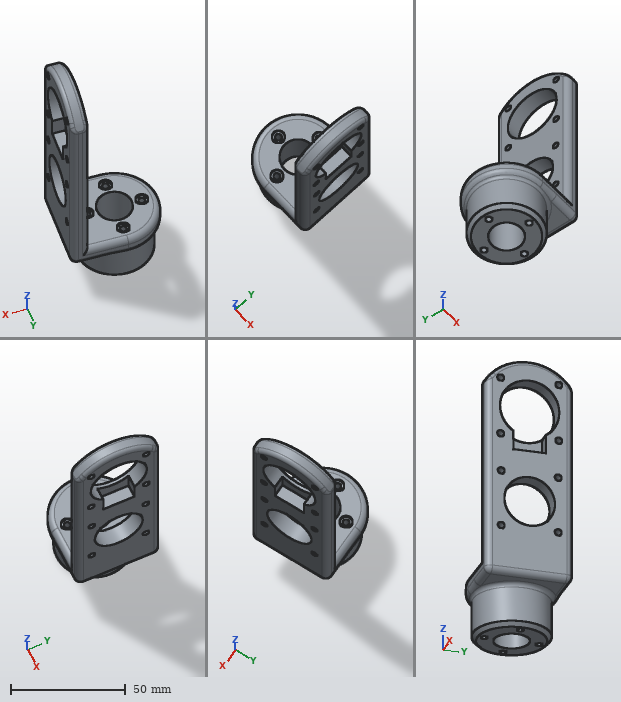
import cadquery as cq

width = 40.0
end_radius = width / 2
back_x = 26.0
thickness = 8.0
edge_fillet = 3.0

spigot_radius = 35.0 / 2
spigot_height = 20.0
spigot_chamfer = 2.0
neck_fillet = 2.0
bore_diameter = 16.0

total_height = 122.23
side_height = 111.0
top_fillet = 2.0
front_x = back_x - thickness

screw_diameter = 3.0
counterbore_diameter = 5.6
counterbore_depth = 1.0
base_screw_radius = 12.5
base_screw_count = 4

upper_opening_z = 99.35
upper_opening_diameter = 27.0
upper_screw_spacing = 26.5
lower_opening_z = 55.5
lower_opening_diameter = 23.0
lower_screw_spacing = 26.0

recess_width = 15.0
recess_depth = 6.0
recess_drop = 20.0

tolerance = 0.01

base_bottom = spigot_height
base_top = base_bottom + thickness


def base_plate():
    """Base plate with its half-round end."""
    return (
        cq.Workplane("XY", origin=(0, 0, base_bottom))
        .moveTo(back_x, -end_radius)
        .lineTo(0, -end_radius)
        .threePointArc((-end_radius, 0), (0, end_radius))
        .lineTo(back_x, end_radius)
        .close()
        .extrude(thickness)
    )


def upright_plate():
    """Upright plate with its arched top."""
    half = width / 2
    return (
        cq.Workplane("YZ", origin=(front_x, 0, 0))
        .moveTo(-half, base_bottom)
        .lineTo(half, base_bottom)
        .lineTo(half, side_height)
        .threePointArc((0, total_height), (-half, side_height))
        .close()
        .extrude(thickness)
    )


def spigot():
    """Chamfered spigot, overlapping the base plate by its full thickness."""
    return (
        cq.Workplane("XY")
        .circle(spigot_radius)
        .extrude(base_top)
        .faces("<Z")
        .chamfer(spigot_chamfer)
    )


def fillet_neck(body):
    """Blend the spigot into the underside of the base plate."""
    reach = (spigot_radius + end_radius) / 2
    around_spigot = cq.selectors.BoxSelector(
        (-reach, -reach, base_bottom - tolerance),
        (reach, reach, base_bottom + tolerance),
        boundingbox=True,
    )
    return body.edges(around_spigot).fillet(neck_fillet)


def fillet_outline(body):
    """Round the outer edges of both plates, all but the arched top."""

    def is_outline(edge):
        center = edge.Center()
        box = edge.BoundingBox()
        level = box.zlen < tolerance
        on_side = abs(abs(center.y) - end_radius) < tolerance
        upright_side = on_side and box.zlen > thickness
        base_side = level and on_side and center.z < base_top + tolerance
        base_end = level and abs(box.xmin + end_radius) < tolerance
        bottom_back = level and abs(center.z - base_bottom) < tolerance and box.xmin > front_x
        return upright_side or base_side or base_end or bottom_back

    edges = [edge for edge in body.edges().vals() if is_outline(edge)]
    return body.newObject(edges).fillet(edge_fillet)


def fillet_top(body):
    """Round both long edges of the arched top."""

    def is_arch_edge(edge):
        box = edge.BoundingBox()
        return box.xlen < tolerance and box.zmax > side_height + edge_fillet

    edges = [edge for edge in body.edges().vals() if is_arch_edge(edge)]
    return body.newObject(edges).fillet(top_fillet)


def cut_base_holes(body):
    """Cut the bore and the four counterbored screw holes, all running down through the spigot."""
    top = cq.Workplane("XY", origin=(0, 0, base_top))
    body = body.cut(top.circle(bore_diameter / 2).extrude(-base_top))
    screws = top.polarArray(base_screw_radius, 0, 360, base_screw_count)
    shanks = screws.circle(screw_diameter / 2).extrude(-base_top)
    heads = screws.circle(counterbore_diameter / 2).extrude(-counterbore_depth)
    return body.cut(shanks).cut(heads)


def cut_opening(body, center_z, diameter, screw_spacing):
    """Cut a round opening through the upright, with a screw hole at each corner of a square."""
    plane = cq.Workplane("YZ", origin=(front_x, 0, center_z))
    hole = plane.circle(diameter / 2).extrude(thickness)
    corners = plane.rect(screw_spacing, screw_spacing, forConstruction=True).vertices()
    screws = corners.circle(screw_diameter / 2).extrude(thickness)
    return body.cut(hole).cut(screws)


def cut_back_recess(body):
    """Cut the recess in the back face, from the centre of the upper opening downwards."""
    corner = (back_x - recess_depth, 0, upper_opening_z - recess_drop)
    recess = cq.Workplane("XY", origin=corner).box(
        recess_depth, recess_width, recess_drop, centered=(False, True, False)
    )
    return body.cut(recess)


body = base_plate().union(upright_plate()).union(spigot())
body = fillet_neck(body)
body = fillet_outline(body)
body = fillet_top(body)
body = cut_base_holes(body)
body = cut_opening(body, upper_opening_z, upper_opening_diameter, upper_screw_spacing)
body = cut_opening(body, lower_opening_z, lower_opening_diameter, lower_screw_spacing)
result = cut_back_recess(body)